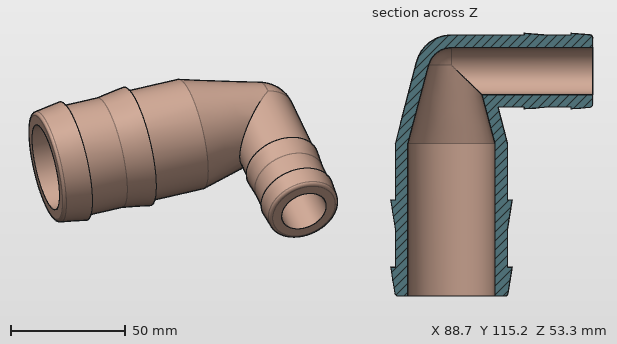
import cadquery as cq
import math


LARGE_DIAMETER = 49.28
LARGE_BARB_DIAMETER = 53.34
LARGE_BORE_DIAMETER = 38.1
LARGE_LENGTH = 98.552
LARGE_BARB_LENGTH = 12.7
LARGE_BARB_PITCH = 29.464
LARGE_LIP_RADIUS = 1.524
TAPER_START = 31.75

SMALL_DIAMETER = 31.75
SMALL_BARB_DIAMETER = 33.274
SMALL_BORE_DIAMETER = 20.57
SMALL_LENGTH = 61.98
SMALL_BARB_LENGTH = 9.652
SMALL_BARB_PITCH = 20.5
SMALL_LIP_RADIUS = 1.524

BARB_COUNT = 2
TRIM_REACH = 2 * SMALL_LENGTH


def spigot(diameter, barb_diameter, start, length, barb_length, barb_pitch, lip_radius):
    """Barbed solid spigot along +X from x = start, with a rounded lip at its mouth."""
    radius = diameter / 2
    barb_radius = barb_diameter / 2
    outline = cq.Workplane("XY").moveTo(start, 0).lineTo(start, radius)
    for index in reversed(range(BARB_COUNT)):
        barb_tip = length - index * barb_pitch
        barb_shoulder = barb_tip - barb_length
        outline = outline.lineTo(barb_shoulder, radius)
        outline = outline.lineTo(barb_shoulder, barb_radius)
        outline = outline.lineTo(barb_tip, radius)
    outline = outline.lineTo(length, 0).close()
    solid = outline.revolve(360, (0, 0, 0), (1, 0, 0))
    return solid.faces(">X").edges().fillet(lip_radius)


def cylinder_along_x(diameter, start, end):
    return cq.Workplane("YZ").workplane(offset=start).circle(diameter / 2).extrude(end - start)


def toward_minus_y(body):
    """Turn a body built along +X so that it points along -Y."""
    return body.rotate((0, 0, 0), (0, 0, 1), -90)


def wedge(*corners):
    """Tall prism over a polygon in the XY plane, used to trim the parts of the corner."""
    return cq.Workplane("XY").polyline(corners).close().extrude(TRIM_REACH, both=True)


def elbow(large_leg, small_leg, large_diameter, small_diameter):
    """Join a leg along -Y to a leg along +X by a cone and a ball.

    Cone and small leg are both tangent to the ball, so they meet in a flat mitre.
    The mitre starts on the line where the ball, the cone and the small leg all touch.
    """
    base_radius = large_diameter / 2
    ball_radius = small_diameter / 2
    axis_to_base_angle = math.atan2(TAPER_START, base_radius)
    half_angle = math.acos(ball_radius / math.hypot(base_radius, TAPER_START)) - axis_to_base_angle
    tangent_y = ball_radius * math.sin(half_angle)
    tangent_radius = ball_radius * math.cos(half_angle)

    inner_corner_x = ball_radius * (1 + math.sin(half_angle)) / math.cos(half_angle)
    mitre_slope = (tangent_y + ball_radius) / inner_corner_x
    mitre_start = (0, tangent_y)
    mitre_end = (TRIM_REACH, tangent_y - TRIM_REACH * mitre_slope)

    above_mitre = wedge(mitre_start, mitre_end, (TRIM_REACH, tangent_y))
    below_mitre = wedge(mitre_start, mitre_end, (0, mitre_end[1]))
    ball_corner = wedge(mitre_start, (0, TRIM_REACH), (-TRIM_REACH, TRIM_REACH), (-TRIM_REACH, tangent_y))

    cone = (
        cq.Workplane("XY")
        .moveTo(0, tangent_y)
        .lineTo(tangent_radius, tangent_y)
        .lineTo(base_radius, -TAPER_START)
        .lineTo(0, -TAPER_START)
        .close()
        .revolve(360, (0, 0, 0), (0, 1, 0))
        .cut(above_mitre)
    )
    ball = cq.Workplane("XY").sphere(ball_radius).intersect(ball_corner)
    return large_leg.union(cone).union(small_leg.cut(below_mitre)).union(ball)


def outer_body():
    large = spigot(
        LARGE_DIAMETER,
        LARGE_BARB_DIAMETER,
        TAPER_START,
        LARGE_LENGTH,
        LARGE_BARB_LENGTH,
        LARGE_BARB_PITCH,
        LARGE_LIP_RADIUS,
    )
    small = spigot(
        SMALL_DIAMETER,
        SMALL_BARB_DIAMETER,
        0,
        SMALL_LENGTH,
        SMALL_BARB_LENGTH,
        SMALL_BARB_PITCH,
        SMALL_LIP_RADIUS,
    )
    return elbow(toward_minus_y(large), small, LARGE_DIAMETER, SMALL_DIAMETER)


def passage():
    large = cylinder_along_x(LARGE_BORE_DIAMETER, TAPER_START, LARGE_LENGTH)
    small = cylinder_along_x(SMALL_BORE_DIAMETER, 0, SMALL_LENGTH)
    return elbow(toward_minus_y(large), small, LARGE_BORE_DIAMETER, SMALL_BORE_DIAMETER)


result = outer_body().cut(passage()).solids()